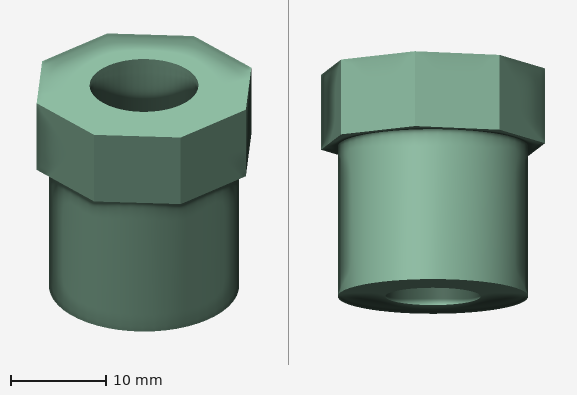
import cadquery as cq

total_height = 24.0
head_across_flats = 22.0
head_height = 8.0
head_sides = 8
body_diameter = 20.0

socket_diameter = 11.42
hole_diameter = 10.0
socket_depth = total_height / 2

body_height = total_height - head_height


def octagon_head():
    """Octagonal head with flats facing X and Y."""
    return (
        cq.Workplane("XY")
        .workplane(offset=body_height)
        .polygon(head_sides, head_across_flats, circumscribed=True)
        .extrude(head_height)
    )


def round_body():
    """Plain cylinder below the head."""
    return cq.Workplane("XY").circle(body_diameter / 2).extrude(body_height)


result = (
    round_body()
    .union(octagon_head())
    .faces(">Z")
    .workplane(origin=(0, 0, total_height))
    .cboreHole(hole_diameter, socket_diameter, socket_depth)
)